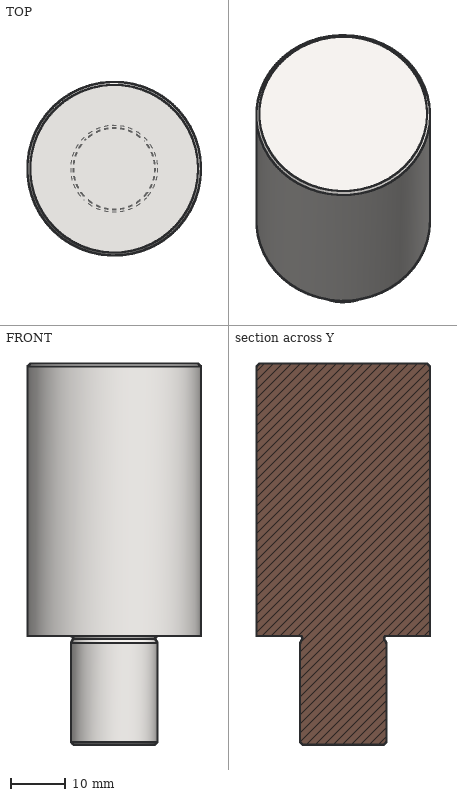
import cadquery as cq

total_length = 70.2
head_diameter = 32.0
head_length = 50.2
head_chamfer = 0.55

stem_diameter = head_diameter / 2
stem_length = total_length - head_length
stem_chamfer = 0.55

groove_diameter = 15.15
groove_width = 1.25
groove_flare = 0.8
groove_fillet = 0.35


def make_head():
    """Cylindrical head with a chamfered top edge."""
    head = cq.Workplane("XY").workplane(offset=stem_length).circle(head_diameter / 2).extrude(head_length)
    return head.faces(">Z").chamfer(head_chamfer)


def make_stem():
    """Stem revolved about Z, with a chamfered end and a relief groove filleted into the head."""
    stem_radius = stem_diameter / 2
    groove_radius = groove_diameter / 2
    groove_bottom = stem_length - groove_width
    profile = (
        cq.Workplane("XZ")
        .lineTo(stem_radius - stem_chamfer, 0)
        .lineTo(stem_radius, stem_chamfer)
        .lineTo(stem_radius, groove_bottom)
        .lineTo(groove_radius, groove_bottom + groove_flare)
        .lineTo(groove_radius, stem_length - groove_fillet)
        .radiusArc((groove_radius + groove_fillet, stem_length), groove_fillet)
        .lineTo(0, stem_length)
        .close()
    )
    return profile.revolve(360, (0, 0, 0), (0, 1, 0))


result = make_head().union(make_stem())